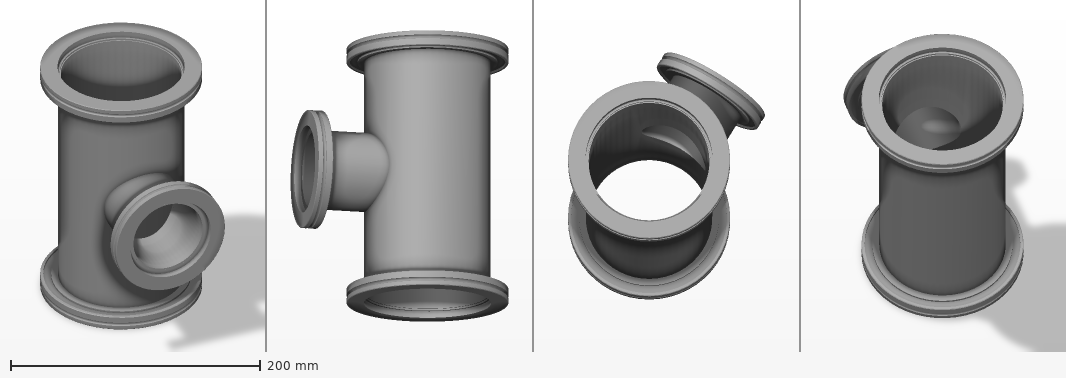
import cadquery as cq

overall_height = 209.8
main_outer_dia = 101.5
main_inner_dia = 97.0
main_flange_dia = 130.0
main_seat_dia = 102.2
main_bore_dia = 98.6
main_claw_inner_dia = 112.5
main_claw_outer_dia = 125.0

branch_face_x = 101.5
branch_outer_dia = 63.5
branch_inner_dia = 60.2
branch_flange_dia = 95.0
branch_seat_dia = 70.0
branch_claw_inner_dia = 78.0
branch_claw_outer_dia = 90.0

flange_thickness = 12.0
seat_depth = 5.5
lip_thickness = 1.5
rim_groove_radius = 1.5
rim_groove_center = 5.0
claw_groove_depth = 1.7
edge_chamfer = 0.5

main_shoulder = seat_depth + lip_thickness


def ring(outer_dia, inner_dia, start, length):
    """Ring along +Z whose lower face is at height start."""
    return (
        cq.Workplane("XY").workplane(offset=start)
        .circle(outer_dia / 2).circle(inner_dia / 2).extrude(length)
    )


def cylinder(plane, diameter, length):
    return cq.Workplane(plane).circle(diameter / 2).extrude(length)


def flange_blank(outer_dia, bore_dia, seat_dia, claw_inner_dia, claw_outer_dia):
    """Flange with its sealing face at Z = 0 and its back at +Z."""
    blank = cylinder("XY", outer_dia, flange_thickness)
    blank = blank.faces("<Z or >Z").edges().chamfer(edge_chamfer)
    bore = cylinder("XY", bore_dia, flange_thickness)
    seat = cylinder("XY", seat_dia, seat_depth)
    claw_groove = ring(
        claw_outer_dia, claw_inner_dia, flange_thickness - claw_groove_depth, claw_groove_depth
    )
    rim_groove = (
        cq.Workplane("XZ").center(outer_dia / 2, rim_groove_center)
        .circle(rim_groove_radius)
        .revolve(360, (-outer_dia / 2, 0), (-outer_dia / 2, 1))
    )
    return blank.cut(bore).cut(seat).cut(claw_groove).cut(rim_groove)


def make_main_flange():
    """Flange with a socket in its back that takes the end of the main pipe."""
    flange = flange_blank(
        main_flange_dia, main_bore_dia, main_seat_dia, main_claw_inner_dia, main_claw_outer_dia
    )
    socket_depth = flange_thickness - main_shoulder
    socket = cylinder("XY", main_outer_dia, socket_depth).translate((0, 0, main_shoulder))
    return flange.cut(socket).translate((0, 0, -overall_height / 2))


def make_branch_flange():
    """Flange bored to fit over the branch pipe, with its sealing face toward +X."""
    flange = flange_blank(
        branch_flange_dia, branch_outer_dia, branch_seat_dia,
        branch_claw_inner_dia, branch_claw_outer_dia,
    )
    return flange.rotate((0, 0, 0), (0, 1, 0), -90).translate((branch_face_x, 0, 0))


def make_main_pipe():
    """Open pipe with a side hole as wide as the branch bore."""
    length = overall_height - 2 * main_shoulder
    pipe = ring(main_outer_dia, main_inner_dia, -length / 2, length)
    return pipe.cut(cylinder("YZ", branch_inner_dia, main_outer_dia))


def make_branch_pipe():
    """Pipe saddled on the main pipe and ending at the floor of the flange seat."""
    length = branch_face_x - seat_depth
    pipe = cylinder("YZ", branch_outer_dia, length).cut(cylinder("YZ", branch_inner_dia, length))
    saddle = cylinder("XY", main_outer_dia, overall_height).translate((0, 0, -overall_height / 2))
    return pipe.cut(saddle)


main_pipe = make_main_pipe()
branch_pipe = make_branch_pipe()
branch_flange = make_branch_flange()
main_flanges = [
    make_main_flange().rotate((0, 0, 0), (1, 0, 0), turn)
    for turn in (0, 180)
]

result = cq.Compound.makeCompound([
    main_pipe.val(),
    branch_pipe.val(),
    branch_flange.val(),
    *[flange.val() for flange in main_flanges],
])